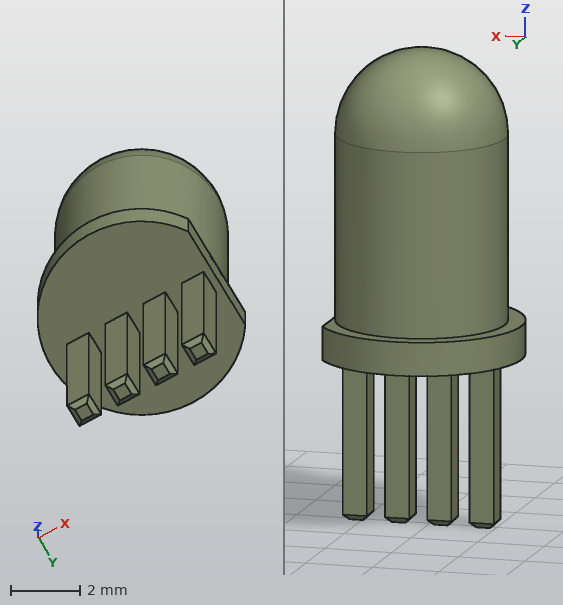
import cadquery as cq

total_height = 14.0

dome_diameter = 5.0
dome_radius = dome_diameter / 2
flange_diameter = 6.0
flange_radius = flange_diameter / 2
flange_height = 1.0

lead_count = 4
lead_length = 5.0
lead_width = 0.73
lead_row_span = 3.81
lead_pitch = lead_row_span / (lead_count - 1)
tip_chamfer = 0.17

lens_height = total_height - lead_length
dome_base_z = lens_height - dome_radius


def make_lens():
    """Flange, cylinder and hemispherical dome, with a flat on the +X side of the flange."""
    lens = (
        cq.Workplane("XZ")
        .lineTo(flange_radius, 0)
        .lineTo(flange_radius, flange_height)
        .lineTo(dome_radius, flange_height)
        .lineTo(dome_radius, dome_base_z)
        .radiusArc((0, lens_height), -dome_radius)
        .close()
        .revolve(360, (0, 0), (0, 1))
    )
    flat_stock = (
        cq.Workplane("XY")
        .box(flange_diameter, flange_diameter, flange_height, centered=(False, True, False))
        .translate((dome_radius, 0, 0))
    )
    return lens.cut(flat_stock)


def make_lead(x):
    """Square lead hanging below the flange, chamfered on all four sides of its tip."""
    return (
        cq.Workplane("XY")
        .center(x, 0)
        .rect(lead_width, lead_width)
        .extrude(-lead_length)
        .faces("<Z")
        .edges()
        .chamfer(tip_chamfer)
    )


lens = make_lens()

first_lead_x = -lead_row_span / 2
leads = []
for index in range(lead_count):
    leads.append(make_lead(first_lead_x + index * lead_pitch))

result = cq.Compound.makeCompound([lens.val(), *[lead.val() for lead in leads]])